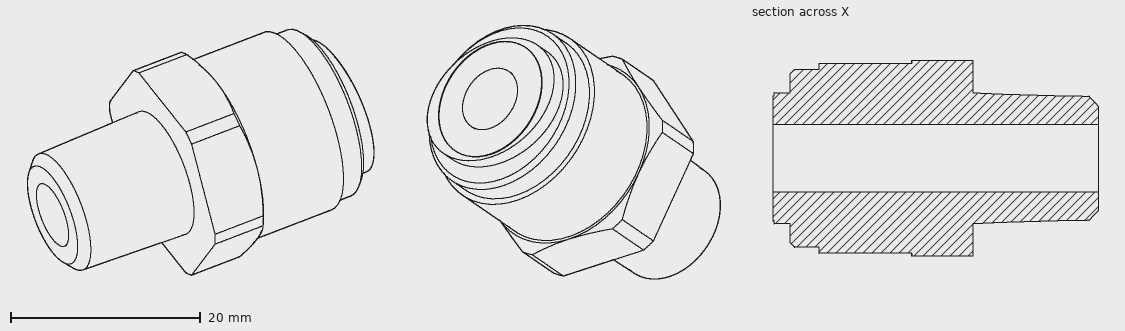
import cadquery as cq
import math

spigot_chamfer_end = 1.0
hex_start = 13.2
hex_end = 19.7
body_end = 29.45
ring_end = 32.5
total_length = 34.3

bore_diameter = 7.03
tip_diameter = 10.98
spigot_small_diameter = 13.1
spigot_large_diameter = 13.82
body_diameter = 20.03
ring_diameter = 18.75
ring_chamfer = 0.5

hex_flats = 20.6
hex_corner_diameter = 23.0
hex_chamfer_angle = 30.0

collar_width = 16.22
collar_height = 13.82
end_pad_diameter = 13.17
end_pad_height = 0.1


def revolve_profile(points):
    """Revolve (radius, y) points about the Y axis."""
    return cq.Workplane("XY").polyline(points).close().revolve(360, (0, 0, 0), (0, 1, 0))


def section_plane(y):
    """Sketch plane across the axis at y, facing +Y."""
    return cq.Workplane(cq.Plane(origin=(0, y, 0), xDir=(1, 0, 0), normal=(0, 1, 0)))


def make_turned_body():
    return revolve_profile([
        (0, 0),
        (tip_diameter / 2, 0),
        (spigot_small_diameter / 2, spigot_chamfer_end),
        (spigot_large_diameter / 2, hex_start),
        (body_diameter / 2, hex_start),
        (body_diameter / 2, body_end),
        (ring_diameter / 2, body_end),
        (ring_diameter / 2, ring_end - ring_chamfer),
        (ring_diameter / 2 - ring_chamfer, ring_end),
        (0, ring_end),
    ])


def make_hexagon():
    """Hexagon with corners on X, trimmed by a turned blank with a chamfered back edge."""
    full_corner_diameter = hex_flats / math.cos(math.radians(30))
    prism = section_plane(hex_start).polygon(6, full_corner_diameter).extrude(hex_end - hex_start)
    corner_radius = hex_corner_diameter / 2
    chamfer_start_radius = hex_flats / 2
    chamfer_depth = (corner_radius - chamfer_start_radius) * math.tan(math.radians(hex_chamfer_angle))
    blank = revolve_profile([
        (0, hex_start),
        (corner_radius, hex_start),
        (corner_radius, hex_end - chamfer_depth),
        (chamfer_start_radius, hex_end),
        (0, hex_end),
    ])
    return prism.intersect(blank)


def make_collar():
    """Oval collar behind the ring, topped by a low round pad."""
    pad_start = total_length - end_pad_height
    oval = section_plane(ring_end).ellipse(collar_width / 2, collar_height / 2).extrude(pad_start - ring_end)
    pad = section_plane(pad_start).circle(end_pad_diameter / 2).extrude(end_pad_height)
    return oval.union(pad)


bore = section_plane(0).circle(bore_diameter / 2).extrude(total_length)

result = make_turned_body().union(make_hexagon()).union(make_collar()).cut(bore)